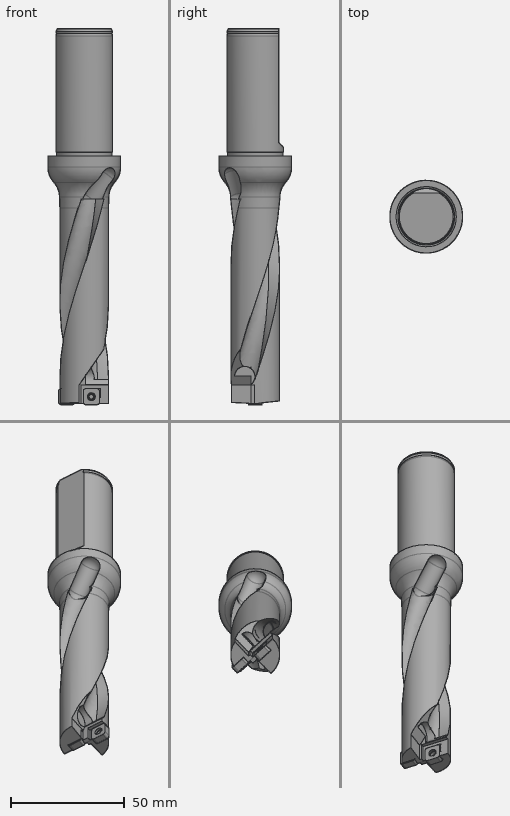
import cadquery as cq
import math

LENGTH = 165.0
BODY_R = 10.7
NECK_R = 10.9
COLLAR_R = 16.0
SHANK_D = 24.9
SHANK_R = SHANK_D / 2
RELIEF_R = 12.2
FACE_RECESS_R = 13.2
FACE_RECESS_DEPTH = 0.5
TIP_Z = 0.5

NECK_BOTTOM_Z = 86.3
NECK_TOP_Z = 91.2
COLLAR_EDGE_Z = 104.3
COLLAR_TOP_Z = 109.2
UNDERCUT_TOP_Z = 110.7
UNDERCUT_CHAMFER = SHANK_R - RELIEF_R
COLLAR_ARC_R = 9.9

TOP_CHAMFER_W = 0.7
TOP_CHAMFER_H = 1.2
GROOVE_HALF_H = 1.0

FLAT_Y = 10.4
FLAT_BOTTOM_Z = 112.9

FLUTE_D = 10.7
FLUTE_R = FLUTE_D / 2
FLUTE_CENTRE_R = 8.9
FLUTE_CREASE_ANGLE = 50.0
FLUTE_WALL_LEAN = 23.0
FLUTE_MOUTH_R = 13.2
FLUTE_BOTTOM_Z = 11.0
FLUTE_TOP_Z = 90.2
FLUTE_PITCH = 198.0
FLUTE_TOP_ANGLE = -67.0
FLUTE_END_R = 4.5
FLUTE_END_Y = 4.6
FLUTE_END_Z = 12.4
FLUTE_END_FLOOR_X = 0.5

RUNOUT_R = 4.3
RUNOUT_START_R = 8.1
RUNOUT_START_ANGLE = -73.0
RUNOUT_START_Z = 90.0
RUNOUT_END_R = 14.4
RUNOUT_END_ANGLE = -45.0
RUNOUT_END_Z = 100.0

INSERT_SIZE = 7.1
INSERT_THICKNESS = 3.3
INSERT_CORNER_R = 1.2
INSERT_FACE = 0.3
INSERT_BACK = INSERT_THICKNESS - INSERT_FACE
INNER_INSERT_X = 3.1
OUTER_INSERT_REACH = 11.2
OUTER_INSERT_X = OUTER_INSERT_REACH - INSERT_SIZE / 2
SCREW_HEAD_D = 3.5
SCREW_SEAT_D = 2.8
SCREW_HEAD_DEPTH = 1.0
THREAD_D = 2.0
THREAD_DEPTH = 2.5
SEAT_GAP_BOTTOM_Z = 3.1
SEAT_GAP = 0.5

POCKET_STEP = 1.8
FRONT_WALL_X = -2.3
FRONT_STEP_X = -1.3
FRONT_POCKET_Z = 8.5
BACK_WALL_X = 0.7
BACK_STEP_X = 3.1
BACK_POCKET_Z = 7.0
RAMP_END_X = 9.4
RAMP_END_Z = 25.5

INNER_RELIEF_RISE = 1.2
OUTER_RELIEF_RISE = 0.5

OUTSIDE = 19.8


def half_turn(shape):
    return shape.rotate((0, 0, 0), (0, 0, 1), 180)


def box_between(x0, x1, y0, y1, z0, z1):
    return cq.Workplane("XY").box(x1 - x0, y1 - y0, z1 - z0, centered=False).translate((x0, y0, z0))


def turned_blank():
    """Revolve the body, neck, collar and shank in one profile."""
    drop_r = COLLAR_R - NECK_R
    drop_z = COLLAR_EDGE_Z - NECK_TOP_Z
    neck_arc_r = (drop_r**2 + drop_z**2) / (2 * drop_r) - COLLAR_ARC_R
    turn = math.asin(drop_z / (COLLAR_ARC_R + neck_arc_r))

    def collar_arc(angle):
        return (COLLAR_R - COLLAR_ARC_R * (1 - math.cos(angle)),
                COLLAR_EDGE_Z - COLLAR_ARC_R * math.sin(angle))

    def neck_arc(angle):
        return (NECK_R + neck_arc_r * (1 - math.cos(angle)),
                NECK_TOP_Z + neck_arc_r * math.sin(angle))

    chamfer_z = LENGTH - TOP_CHAMFER_H
    groove_z = chamfer_z - GROOVE_HALF_H
    profile = (
        cq.Workplane("XZ")
        .moveTo(0, TIP_Z)
        .lineTo(BODY_R, TIP_Z)
        .lineTo(BODY_R, NECK_BOTTOM_Z)
        .lineTo(NECK_R, NECK_TOP_Z)
        .threePointArc(neck_arc(turn / 2), neck_arc(turn))
        .threePointArc(collar_arc(turn / 2), (COLLAR_R, COLLAR_EDGE_Z))
        .lineTo(COLLAR_R, COLLAR_TOP_Z)
        .lineTo(FACE_RECESS_R, COLLAR_TOP_Z)
        .lineTo(RELIEF_R, COLLAR_TOP_Z - FACE_RECESS_DEPTH)
        .lineTo(RELIEF_R, UNDERCUT_TOP_Z)
        .lineTo(SHANK_R, UNDERCUT_TOP_Z + UNDERCUT_CHAMFER)
        .lineTo(SHANK_R, groove_z - GROOVE_HALF_H)
        .lineTo(RELIEF_R, groove_z)
        .lineTo(SHANK_R, chamfer_z)
        .lineTo(SHANK_R - TOP_CHAMFER_W, LENGTH)
        .lineTo(0, LENGTH)
        .close()
    )
    return profile.revolve(360, (0, 0, 0), (0, 1, 0))


def clamping_flat():
    """Flat on the shank with a 45 degree run-out at its lower end."""
    ramp = SHANK_R - FLAT_Y
    return (
        cq.Workplane("YZ")
        .moveTo(FLAT_Y, LENGTH)
        .lineTo(FLAT_Y, FLAT_BOTTOM_Z + ramp)
        .lineTo(SHANK_R, FLAT_BOTTOM_Z)
        .lineTo(OUTSIDE, FLAT_BOTTOM_Z)
        .lineTo(OUTSIDE, LENGTH)
        .close()
        .extrude(OUTSIDE, both=True)
    )


def on_circle(radius, angle, z):
    angle = math.radians(angle)
    return cq.Vector(radius * math.cos(angle), radius * math.sin(angle), z)


def helical_flute():
    """Groove, round on one side and flat on the other, that turns about the axis as it rises."""
    height = FLUTE_TOP_Z - FLUTE_BOTTOM_Z
    turn = 360 * height / FLUTE_PITCH
    mouth_angle = math.asin((BODY_R - FLUTE_CENTRE_R) / FLUTE_R)
    crease_angle = math.radians(FLUTE_CREASE_ANGLE) - math.pi

    def on_round(angle):
        return (FLUTE_R * math.cos(angle), FLUTE_CENTRE_R + FLUTE_R * math.sin(angle))

    crease_x, crease_y = on_round(crease_angle)
    mouth_x = crease_x - (FLUTE_MOUTH_R - crease_y) * math.tan(math.radians(FLUTE_WALL_LEAN))
    section = (
        cq.Workplane("XY")
        .moveTo(*on_round(mouth_angle))
        .threePointArc(on_round(-math.pi / 2), (crease_x, crease_y))
        .lineTo(mouth_x, FLUTE_MOUTH_R)
        .lineTo(on_round(mouth_angle)[0], FLUTE_MOUTH_R)
        .close()
    )
    section_angle = 90
    start_angle = FLUTE_TOP_ANGLE - turn - section_angle
    return (
        section.twistExtrude(height, turn)
        .rotate((0, 0, 0), (0, 0, 1), start_angle)
        .translate((0, 0, FLUTE_BOTTOM_Z))
    )


def runout_channel():
    """Straight channel with ball ends, from the flute up into the collar."""
    start = on_circle(RUNOUT_START_R, RUNOUT_START_ANGLE, RUNOUT_START_Z)
    end = on_circle(RUNOUT_END_R, RUNOUT_END_ANGLE, RUNOUT_END_Z)
    run = end - start
    channel = cq.Workplane(cq.Solid.makeCylinder(RUNOUT_R, run.Length, start, run))
    for ball in (start, end):
        channel = channel.union(cq.Workplane("XY").sphere(RUNOUT_R).translate(ball.toTuple()))
    return channel


def chip_pocket(wall_x, step_x, top_z):
    """Stepped pocket open to the -Y and +X sides at the tip, with a ramp up into the flute."""
    ramp = (
        cq.Workplane("XZ", origin=(0, -POCKET_STEP, 0))
        .moveTo(wall_x, 0)
        .lineTo(wall_x, top_z)
        .lineTo(RAMP_END_X, RAMP_END_Z)
        .lineTo(OUTSIDE, RAMP_END_Z)
        .lineTo(OUTSIDE, 0)
        .close()
        .extrude(OUTSIDE)
    )
    land = box_between(step_x, OUTSIDE, -OUTSIDE, -INSERT_FACE, 0, top_z)
    return ramp.union(land)


def flute_end():
    """Round recess, open to the +X side, that ends the front flute."""
    return (
        cq.Workplane("YZ", origin=(FLUTE_END_FLOOR_X, 0, 0))
        .center(-FLUTE_END_Y, FLUTE_END_Z)
        .circle(FLUTE_END_R)
        .extrude(OUTSIDE)
    )


def end_relief(rise):
    """Wedge that slopes the end face upward toward +Y."""
    slope = rise / BODY_R
    return (
        cq.Workplane("YZ")
        .moveTo(0, TIP_Z)
        .lineTo(OUTSIDE, TIP_Z + slope * OUTSIDE)
        .lineTo(OUTSIDE, 0)
        .lineTo(0, 0)
        .close()
        .extrude(OUTSIDE, both=True)
    )


def insert_block(centre_x):
    """Square insert with rounded corners and its cutting face toward -Y."""
    half = INSERT_SIZE / 2
    return (
        box_between(centre_x - half, centre_x + half, -INSERT_FACE, INSERT_BACK, 0, INSERT_SIZE)
        .edges("|Y")
        .fillet(INSERT_CORNER_R)
    )


def bore(centre_x, diameter, start_y, depth):
    """Hole along +Y at the height of the insert centre."""
    return (
        cq.Workplane("XZ", origin=(centre_x, start_y, INSERT_SIZE / 2))
        .circle(diameter / 2)
        .extrude(-depth)
    )


def cutting_insert(centre_x):
    """Insert with a stepped screw hole."""
    return (
        insert_block(centre_x)
        .cut(bore(centre_x, SCREW_SEAT_D, -INSERT_FACE, INSERT_THICKNESS))
        .cut(bore(centre_x, SCREW_HEAD_D, -INSERT_FACE, SCREW_HEAD_DEPTH))
    )


def insert_seat(centre_x):
    """Recess for an insert and the threaded hole behind it."""
    screw_hole = bore(centre_x, THREAD_D, 0, INSERT_BACK + THREAD_DEPTH)
    return insert_block(centre_x).union(screw_hole)


def drill_body():
    body = turned_blank().cut(clamping_flat())

    for cutter in (helical_flute(), runout_channel(), flute_end()):
        body = body.cut(cutter).cut(half_turn(cutter))

    body = body.cut(chip_pocket(FRONT_WALL_X, FRONT_STEP_X, FRONT_POCKET_Z))
    body = body.cut(half_turn(chip_pocket(BACK_WALL_X, BACK_STEP_X, BACK_POCKET_Z)))

    body = body.cut(end_relief(INNER_RELIEF_RISE)).cut(half_turn(end_relief(OUTER_RELIEF_RISE)))

    body = body.cut(insert_seat(INNER_INSERT_X)).cut(half_turn(insert_seat(OUTER_INSERT_X)))
    side_x = INNER_INSERT_X + INSERT_SIZE / 2
    body = body.cut(
        box_between(side_x - INSERT_CORNER_R, side_x + SEAT_GAP,
                    -INSERT_FACE, INSERT_BACK, SEAT_GAP_BOTTOM_Z, INSERT_SIZE)
    )
    return body


body = drill_body()
inner_insert = cutting_insert(INNER_INSERT_X)
outer_insert = half_turn(cutting_insert(OUTER_INSERT_X))

result = cq.Compound.makeCompound([
    body.solids().val(),
    inner_insert.solids().val(),
    outer_insert.solids().val(),
])